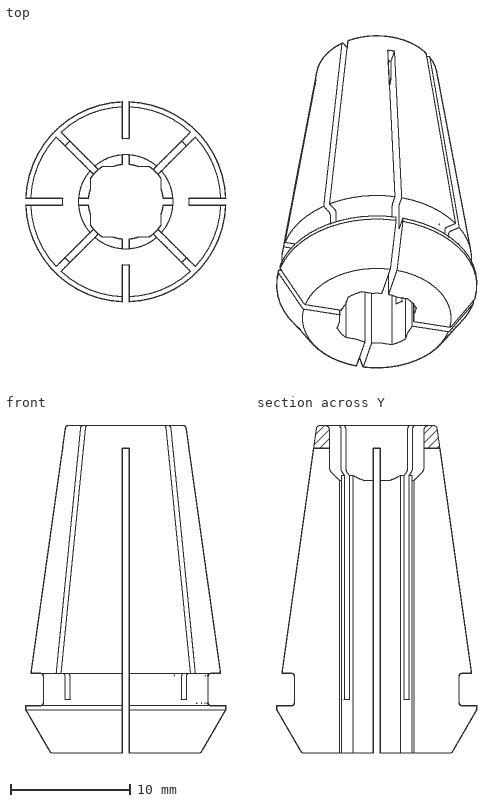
import cadquery as cq
import math

height = 27.5
head_radius = 8.4
head_bottom_radius = 6.38
head_rim_bottom = 3.63
head_top = 4.0
head_edge_chamfer = 0.15
groove_radius = 6.93
groove_fillet = 0.22
taper_bottom = 6.68
taper_angle = 8.0
taper_large_radius = 7.98
nose_fillet = 0.28

bore_radius = 3.95
bore_mouth_fillet = 0.35
bore_floor = 23.7
bore_floor_fillet = 0.5
funnel_half_angle = 45.0
drive_half_width = 2.95
drive_corner_radius = 3.55
drive_round_radius = 3.14

slot_width = 0.58
bottom_slot_top = 25.58
top_slot_floor = 4.48

taper_height = height - taper_bottom
taper_small_radius = taper_large_radius - taper_height * math.tan(math.radians(taper_angle))
funnel_bottom_radius = drive_half_width
funnel_depth = (bore_radius - funnel_bottom_radius) / math.tan(math.radians(funnel_half_angle))


def revolve_outline(outline):
    """Revolve a closed (radius, z) outline a full turn round the Z axis."""
    return outline.close().revolve(360, (0, 0, 0), (0, 1, 0))


def make_body():
    """Outside of the collet, with a rounded nose and still solid inside."""
    outline = (
        cq.Workplane("XZ")
        .lineTo(head_bottom_radius - head_edge_chamfer, 0)
        .lineTo(head_bottom_radius, head_edge_chamfer)
        .lineTo(head_radius, head_rim_bottom)
        .lineTo(head_radius, head_top)
        .lineTo(groove_radius + groove_fillet, head_top)
        .radiusArc((groove_radius, head_top + groove_fillet), groove_fillet)
        .lineTo(groove_radius, taper_bottom - groove_fillet)
        .radiusArc((groove_radius + groove_fillet, taper_bottom), groove_fillet)
        .lineTo(taper_large_radius, taper_bottom)
        .lineTo(taper_small_radius, height)
        .lineTo(0, height)
    )
    return revolve_outline(outline).faces(">Z").edges().fillet(nose_fillet)


def cut_bore(body):
    """Cut the round bore with its funnel-shaped floor, then round its mouth."""
    outline = (
        cq.Workplane("XZ")
        .moveTo(0, bore_floor - funnel_depth)
        .lineTo(funnel_bottom_radius, bore_floor - funnel_depth)
        .lineTo(bore_radius, bore_floor)
        .lineTo(bore_radius, height)
        .lineTo(0, height)
    )
    bore = revolve_outline(outline)
    floor_rim = cq.selectors.NearestToPointSelector((bore_radius, 0, bore_floor))
    bore = bore.edges("%CIRCLE").edges(floor_rim).fillet(bore_floor_fillet)
    bored = body.cut(bore)
    mouth = cq.selectors.RadiusNthSelector(0)
    return bored.faces(">Z").edges(mouth).fillet(bore_mouth_fillet)


def make_drive_hole():
    """Square hole with rounded corners, joined with a round hole that bulges its four sides."""
    square = cq.Workplane("XY").rect(2 * drive_half_width, 2 * drive_half_width).extrude(bore_floor)
    corner_limit = cq.Workplane("XY").circle(drive_corner_radius).extrude(bore_floor)
    round_hole = cq.Workplane("XY").circle(drive_round_radius).extrude(bore_floor)
    return square.intersect(corner_limit).union(round_hole)


def make_slot_cross(bottom, top, turn):
    """Two crossed slots through the axis, turned about Z by an angle in degrees."""
    slot_length = 2 * head_radius + slot_width
    base = cq.Workplane("XY").workplane(offset=bottom)
    along_x = base.rect(slot_length, slot_width).extrude(top - bottom)
    along_y = base.rect(slot_width, slot_length).extrude(top - bottom)
    return along_x.union(along_y).rotate((0, 0, 0), (0, 0, 1), turn)


result = (
    cut_bore(make_body())
    .cut(make_drive_hole())
    .cut(make_slot_cross(0, bottom_slot_top, 0))
    .cut(make_slot_cross(top_slot_floor, height, 45))
)